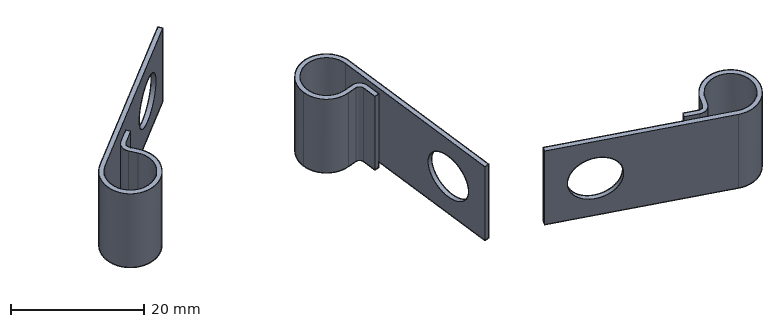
import cadquery as cq

total_length = 34.92
width = 15.9
thickness = 0.8
loop_diameter = 9.55
hole_diameter = 8.73
hole_from_end = 7.93
lip_end_from_strap_end = 22.1
lip_gap = 0.8
bend_inner_radius = 0.85

loop_outer = loop_diameter / 2
loop_inner = loop_outer - thickness
strap_end = total_length - loop_outer
lip_end = strap_end - lip_end_from_strap_end
lip_left = -loop_inner + lip_gap
lip_right = lip_left + thickness
bend_x = lip_right + bend_inner_radius
bend_y = loop_outer + bend_inner_radius
bend_outer_radius = bend_inner_radius + thickness


def bent_strip():
    """Flat strap, round loop, short flat and upturned lip, as one bent strip."""
    return (
        cq.Workplane("XY")
        .moveTo(-loop_outer, strap_end)
        .lineTo(-loop_outer, 0)
        .threePointArc((0, -loop_outer), (loop_outer, 0))
        .radiusArc((0, loop_outer), -loop_outer)
        .lineTo(bend_x, loop_outer)
        .radiusArc((lip_right, bend_y), bend_inner_radius)
        .lineTo(lip_right, lip_end)
        .lineTo(lip_left, lip_end)
        .lineTo(lip_left, bend_y)
        .radiusArc((bend_x, loop_inner), -bend_outer_radius)
        .lineTo(0, loop_inner)
        .radiusArc((loop_inner, 0), loop_inner)
        .threePointArc((0, -loop_inner), (-loop_inner, 0))
        .lineTo(-loop_inner, strap_end)
        .close()
        .extrude(width)
    )


def mounting_hole():
    """Cutter for the round hole through the strap only."""
    return (
        cq.Workplane("YZ", origin=(-loop_outer, 0, 0))
        .center(strap_end - hole_from_end, width / 2)
        .circle(hole_diameter / 2)
        .extrude(thickness)
    )


result = bent_strip().cut(mounting_hole())